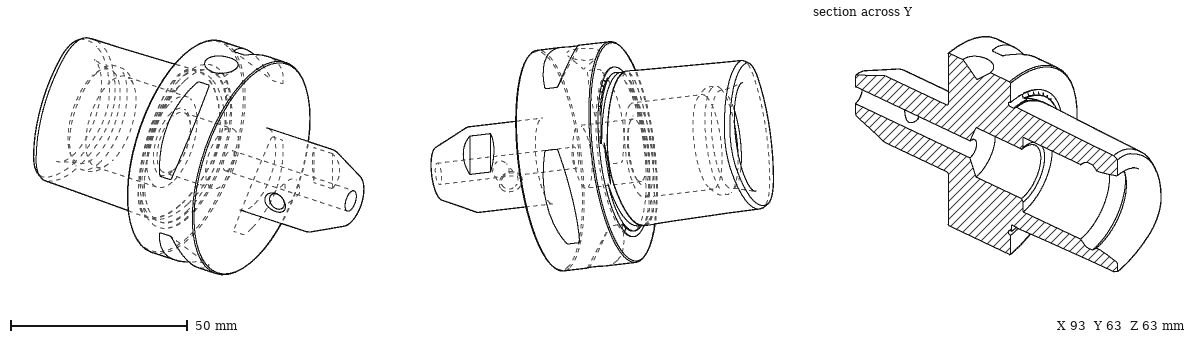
import cadquery as cq
import math


total_length = 93.0
taper_end = 35.9
disc_face = 37.6
flange_start = 37.9
flange_end = 60.2

lobe_radius = 13.0
lobe_offset = 10.4
taper_slope = 0.5 / 20
tip_chamfer_length = 1.4
tip_chamfer_inset = 0.8
neck_inset = 0.2
lobe_turning_radius = 22.6
lobe_turning_start = 36.8

flange_radius = 63.0 / 2
flange_chamfer = 0.4
face_groove_outer_radius = 24.2
gripper_x = 49.9
dimple_radius = 4.8

slot_floor_distance = 27.9
slot_floor_half_width = 1.9
slot_mouth_half_width = 3.9
slot_corner_radius = 0.65
slot_length = 46.5
slot_angles = (45, 135, 225, 315)

nose_radius = 24.5 / 2
nose_root_fillet = 0.65
nose_cone_start = 82.7
nose_tip_radius = 7.4
nose_shoulder_fillet = 1.1
nose_tip_fillet = 0.8

flat_depth = 1.5
flat_start = 74.1
flat_end = 80.3

side_hole_x = 75.4
side_hole_radius = 4.9 / 2
side_hole_rim_radius = 3.4

mouth_radius = 16.4
mouth_round = 0.9
lip_radius = 28.0 / 2
lip_start = 6.4
lip_end = 7.5
groove_radius = 15.4
groove_round_start = 10.4
groove_round = 1.9
groove_cone_angle = math.radians(45)
chamber_radius = 13.5
chamber_floor = 33.5
thread_radius = 17.9 / 2
thread_chamfer = 1.0
thread_chamfer_half_angle = math.radians(60)
thread_end = 50.2
coolant_radius = 6.0 / 2
drill_half_angle = math.radians(70)


def polar(radius, degrees):
    """Point in the YZ plane; the angle is measured from +Y towards +Z."""
    angle = math.radians(degrees)
    return radius * math.cos(angle), radius * math.sin(angle)


def polygon_outline(inset):
    """Three-lobed outline with its first lobe at +Z, moved inward by the inset."""
    small = lobe_radius - inset
    large = small + math.sqrt(3) * lobe_offset

    def arc_point(centre_angle, radius, normal_angle):
        centre = polar(lobe_offset, centre_angle)
        reach = polar(radius, normal_angle)
        return centre[0] + reach[0], centre[1] + reach[1]

    outline = cq.Workplane("YZ").moveTo(*arc_point(90, small, 60))
    for lobe in (90, 210, 330):
        flank = lobe + 60
        opposite = flank + 180
        outline = outline.threePointArc(
            arc_point(lobe, small, lobe),
            arc_point(lobe, small, lobe + 30),
        ).threePointArc(
            arc_point(opposite, large, flank),
            arc_point(opposite, large, flank + 30),
        )
    return outline.close().wire().val()


def polygon_section(start_x, start_inset, end_x, end_inset):
    """Solid between two polygon outlines."""
    start = polygon_outline(start_inset).translate(cq.Vector(start_x, 0, 0))
    end = polygon_outline(end_inset).translate(cq.Vector(end_x, 0, 0))
    return cq.Workplane(cq.Solid.makeLoft([start, end], True))


def revolve_profile(profile):
    """Turn a closed profile of (X, radius) about the X axis."""
    return profile.close().revolve(360, (0, 0, 0), (1, 0, 0))


def make_shank():
    chamfer_inset = (taper_end - tip_chamfer_length) * taper_slope
    tip = polygon_section(0, chamfer_inset + tip_chamfer_inset, tip_chamfer_length, chamfer_inset)
    taper = polygon_section(tip_chamfer_length, chamfer_inset, taper_end, 0)
    neck = polygon_section(taper_end, neck_inset, flange_start, neck_inset)

    shoulder_radius = lobe_turning_radius + lobe_turning_start - taper_end
    turning = revolve_profile(
        cq.Workplane("XY")
        .moveTo(taper_end, 0)
        .lineTo(taper_end, shoulder_radius)
        .lineTo(lobe_turning_start, lobe_turning_radius)
        .lineTo(flange_start, lobe_turning_radius)
        .lineTo(flange_start, 0)
    )
    return tip.union(taper).union(neck.intersect(turning))


def make_flange():
    flange = (
        cq.Workplane("YZ", origin=(flange_start, 0, 0))
        .circle(flange_radius)
        .extrude(flange_end - flange_start)
        .edges()
        .chamfer(flange_chamfer)
    )
    ring_radius = (face_groove_outer_radius - lobe_turning_radius) / 2
    groove = revolve_profile(
        cq.Workplane("XY")
        .moveTo(flange_start, lobe_turning_radius)
        .threePointArc(
            (flange_start + ring_radius, lobe_turning_radius + ring_radius),
            (flange_start, face_groove_outer_radius),
        )
    )
    disc = (
        cq.Workplane("YZ", origin=(disc_face, 0, 0))
        .circle(lobe_turning_radius)
        .extrude(flange_start - disc_face)
    )
    return flange.cut(groove).union(disc)


def make_nose():
    nose = revolve_profile(
        cq.Workplane("XY")
        .moveTo(flange_end, 0)
        .lineTo(flange_end, nose_radius)
        .lineTo(nose_cone_start, nose_radius)
        .lineTo(total_length, nose_tip_radius)
        .lineTo(total_length, 0)
    )
    shoulder = cq.selectors.BoxSelector(
        (nose_cone_start - nose_shoulder_fillet, -nose_radius, -nose_radius),
        (nose_cone_start + nose_shoulder_fillet, nose_radius, nose_radius),
    )
    nose = nose.edges(shoulder).fillet(nose_shoulder_fillet)
    nose = nose.faces(">X").edges().fillet(nose_tip_fillet)

    root = revolve_profile(
        cq.Workplane("XY")
        .moveTo(flange_end, 0)
        .lineTo(flange_end, nose_radius + nose_root_fillet)
        .radiusArc((flange_end + nose_root_fillet, nose_radius), -nose_root_fillet)
        .lineTo(flange_end + nose_root_fillet, 0)
    )
    return nose.union(root)


def make_bore():
    wall_radius = mouth_radius - mouth_round

    groove_start = lip_end + groove_radius - lip_radius

    round_end_x = groove_round_start + groove_round * math.sin(groove_cone_angle)
    round_end_radius = groove_radius - groove_round * (1 - math.cos(groove_cone_angle))
    groove_round_end = (round_end_x, round_end_radius)
    chamber_start = round_end_x + (round_end_radius - chamber_radius) / math.tan(groove_cone_angle)

    chamfer_length = thread_chamfer / math.tan(thread_chamfer_half_angle)
    cone_length = (thread_radius - coolant_radius) / math.tan(drill_half_angle)
    return revolve_profile(
        cq.Workplane("XY")
        .lineTo(0, mouth_radius)
        .radiusArc((mouth_round, wall_radius), -mouth_round)
        .lineTo(lip_start, lip_radius)
        .lineTo(lip_end, lip_radius)
        .lineTo(groove_start, groove_radius)
        .lineTo(groove_round_start, groove_radius)
        .radiusArc(groove_round_end, groove_round)
        .lineTo(chamber_start, chamber_radius)
        .lineTo(chamber_floor, chamber_radius)
        .lineTo(chamber_floor, thread_radius + thread_chamfer)
        .lineTo(chamber_floor + chamfer_length, thread_radius)
        .lineTo(thread_end, thread_radius)
        .lineTo(thread_end + cone_length, coolant_radius)
        .lineTo(total_length, coolant_radius)
        .lineTo(total_length, 0)
    )


def make_gripper_slots():
    """Trapezoid grooves across the flange rim, midway between the Y and Z axes."""
    slot = (
        cq.Workplane("XY", origin=(gripper_x, 0, -slot_length / 2))
        .moveTo(-slot_floor_half_width, slot_floor_distance)
        .lineTo(slot_floor_half_width, slot_floor_distance)
        .lineTo(slot_mouth_half_width, flange_radius)
        .lineTo(-slot_mouth_half_width, flange_radius)
        .close()
        .extrude(slot_length)
        .faces("<Y")
        .edges("|Z")
        .fillet(slot_corner_radius)
    )
    slots = cq.Workplane()
    for angle in slot_angles:
        slots = slots.add(slot.rotate((0, 0, 0), (1, 0, 0), angle))
    return slots.combine()


def make_dimple():
    """Conical 90 degree dimple on the +Z side of the flange."""
    cone = cq.Solid.makeCone(
        0,
        2 * dimple_radius,
        2 * dimple_radius,
        cq.Vector(gripper_x, 0, flange_radius - dimple_radius),
        cq.Vector(0, 0, 1),
    )
    return cq.Workplane(cone)


def make_clamping_flat():
    """Flat with 45 degree ends on the +Y side of the nose."""
    floor = nose_radius - flat_depth
    return (
        cq.Workplane("XY", origin=(0, 0, -nose_radius))
        .moveTo(flat_start, floor)
        .lineTo(flat_end, floor)
        .lineTo(flat_end + flat_depth, nose_radius)
        .lineTo(flat_start - flat_depth, nose_radius)
        .close()
        .extrude(2 * nose_radius)
    )


def make_side_hole():
    """Countersunk hole from the -Y side into the coolant bore."""
    countersink = side_hole_rim_radius - side_hole_radius
    profile = (
        cq.Workplane("XY")
        .moveTo(side_hole_x, 0)
        .lineTo(side_hole_x + side_hole_radius, 0)
        .lineTo(side_hole_x + side_hole_radius, countersink - nose_radius)
        .lineTo(side_hole_x + side_hole_rim_radius, -nose_radius)
        .lineTo(side_hole_x, -nose_radius)
        .close()
    )
    return profile.revolve(360, (side_hole_x, 0, 0), (side_hole_x, 1, 0))


body = make_shank().union(make_flange()).union(make_nose())
for cutter in (make_bore(), make_gripper_slots(), make_dimple(), make_clamping_flat(), make_side_hole()):
    body = body.cut(cutter)
result = body